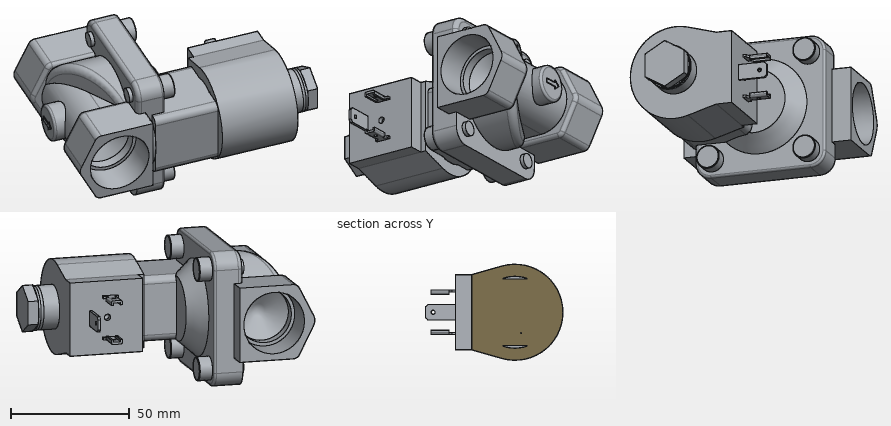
import cadquery as cq
import math


overall_length = 112.7

port_face_x = 37.4
port_length = 19.7
port_half_width = 16.1
port_back_y = 15.1
port_corner_y = -10.3
port_tip_y = -18.5
port_tip_radius = 4.8
port_corner_radius = 3.2
port_inner_fillet = 1.7
port_inner_x = port_face_x - port_length
bore_mouth_radius = 13.3
bore_radius = 13.1
bore_depth = 14.0
seat_radius = 11.6
seat_depth = 4.5
seat_cone_depth = 7.0

channel_radius = 13.1
bowl_radius = 22.7
bowl_floor_angle = 29.2
bowl_floor_y = -1.6
bowl_fillet = 3.0

plug_radius = 8.0
plug_end_y = -17.7
plug_fillet = 1.0
arrow_end_y = -18.1
arrow_tail_x = -4.2
arrow_neck_x = 1.9
arrow_tip_x = 4.5
arrow_shaft_half = 0.9
arrow_head_half = 2.0

flange_size = 58.0
flange_front_y = 11.3
flange_back_y = 23.9
flange_corner_radius = 6.8
flange_back_fillet = 1.0
flange_front_fillet = 2.0
screw_offset = 21.5
screw_head_radius = 5.1
screw_head_height = 5.7
screw_tip_radius = 3.2
screw_tip_y = 9.6
screw_chamfer = 0.3

cover_base_radius = 20.9
cover_top_radius = 13.9
cover_top_y = 31.8

neck_min_x = 1.0
neck_max_x = 33.0
neck_half_width = 14.1
neck_corner_radius = 3.0
neck_start_y = 18
foot_x = 17.5
foot_radius = 16.2

coil_x = 17.6
coil_radius = 20.3
coil_flat_x = -0.7
coil_start_y = 46.5
coil_end_y = 80.9
coil_recess_radius = 15.1
coil_recess_depth = 1.1
neck_end_y = coil_start_y + coil_recess_depth

box_face_x = -7.5
box_half_width = 15.9
box_start_y = 49.0
box_hole_y = 64.5
box_hole_radius = 1.4
box_hole_depth = 2.3
box_hole_tip_depth = 1.4

blade_tip_x = -20.2
blade_y = 71.8
blade_thickness = 1.1
blade_width = 6.6
blade_tip_chamfer = 1.1
blade_hole_x = -16.9
pin_hole_radius = 0.8

pin_tip_x = -17.8
pin_neck_x = -10.1
pin_shoulder_x = -8.9
pin_y = 63.3
pin_width = 5.0
pin_neck_width = 3.0
pin_shoulder_width = 6.5
pin_outer_z = 9.5
pin_thickness = 1.0
pin_channel_depth = 1.9
pin_wall = 0.9
pin_bend_radius = 0.9
pin_neck_fillet = 0.9
pin_hole_x = -13.4

sleeve_radius = 9.5
sleeve_end_y = 87.8
ring_start_y = 89
sleeve_groove_depth = 0.3
nut_start_y = 90.0
nut_end_y = arrow_end_y + overall_length
nut_across_flats = 17.5
nut_turn = 30


def plane_at(y):
    """Sketch plane across Y whose local axes are the part's X and Z."""
    return cq.Workplane("XZ", origin=(0, y, 0))


def box_between(x_range, y_range, z_range):
    """Axis-aligned block spanning the three ranges."""
    return cq.Workplane("XY").box(
        x_range[1] - x_range[0],
        y_range[1] - y_range[0],
        z_range[1] - z_range[0],
        centered=False,
    ).translate((x_range[0], y_range[0], z_range[0]))


def cylinder_y(x, z, radius, start_y, end_y):
    """Cylinder along Y between two heights."""
    return plane_at(start_y).center(x, z).circle(radius).extrude(start_y - end_y)


def make_port():
    """Body of the -X port: square at the back, pointed at the front."""
    body = (
        cq.Workplane("YZ", origin=(-port_face_x, 0, 0))
        .moveTo(port_back_y, port_half_width)
        .lineTo(port_corner_y, port_half_width)
        .lineTo(port_tip_y, 0)
        .lineTo(port_corner_y, -port_half_width)
        .lineTo(port_back_y, -port_half_width)
        .close()
        .extrude(port_length)
    )
    tip_middle = (-port_face_x + port_length / 2, port_tip_y, 0)
    body = body.edges(cq.selectors.NearestToPointSelector(tip_middle)).fillet(port_tip_radius)
    for side in (1, -1):
        corner_middle = (tip_middle[0], port_corner_y, side * port_half_width)
        corner = cq.selectors.NearestToPointSelector(corner_middle)
        body = body.edges(corner).fillet(port_corner_radius)
    inner_edges = body.faces(">X").edges("not(>Y)")
    return inner_edges.fillet(port_inner_fillet)


def make_port_bore():
    """Slightly tapered bore of the -X port, stepping down to a seat with a conical bottom."""
    shoulder_x = -port_face_x + bore_depth
    return (
        cq.Workplane("XY")
        .moveTo(-port_face_x, 0)
        .lineTo(-port_face_x, bore_mouth_radius)
        .lineTo(shoulder_x, bore_radius)
        .lineTo(shoulder_x, seat_radius)
        .lineTo(shoulder_x + seat_depth, seat_radius)
        .lineTo(shoulder_x + seat_depth + seat_cone_depth, 0)
        .close()
        .revolve(360, (0, 0, 0), (1, 0, 0))
    )


def make_channel():
    """U-shaped flow channel between the ports, round at the front."""
    length = 2 * port_inner_x
    pipe = cq.Workplane("YZ", origin=(-port_inner_x, 0, 0)).circle(channel_radius).extrude(length)
    walls = box_between(
        (-port_inner_x, port_inner_x), (0, flange_front_y), (-channel_radius, channel_radius)
    )
    return pipe.union(walls)


def make_bowl():
    """Round bowl whose slanted floor meets the wall in a fillet."""
    slope = math.tan(math.radians(bowl_floor_angle))
    reach = 2 * bowl_radius
    bowl = cylinder_y(0, 0, bowl_radius, -reach, flange_front_y)
    below_floor = (
        cq.Workplane("XY", origin=(0, 0, -reach))
        .moveTo(-reach, bowl_floor_y - reach * slope)
        .lineTo(reach, bowl_floor_y + reach * slope)
        .lineTo(reach, -2 * reach)
        .lineTo(-reach, -2 * reach)
        .close()
        .extrude(2 * reach)
    )
    bowl = bowl.cut(below_floor)
    floor = cq.selectors.NearestToPointSelector((0, bowl_floor_y, 0))
    return bowl.faces(floor).edges().fillet(bowl_fillet)


def make_plug():
    """Plug boss with a rounded rim and a raised arrow pointing to +X."""
    plug = cylinder_y(0, 0, plug_radius, plug_end_y, 0).faces("<Y").edges().fillet(plug_fillet)
    arrow = (
        plane_at(plug_end_y)
        .moveTo(arrow_tail_x, arrow_shaft_half)
        .lineTo(arrow_neck_x, arrow_shaft_half)
        .lineTo(arrow_neck_x, arrow_head_half)
        .lineTo(arrow_tip_x, 0)
        .lineTo(arrow_neck_x, -arrow_head_half)
        .lineTo(arrow_neck_x, -arrow_shaft_half)
        .lineTo(arrow_tail_x, -arrow_shaft_half)
        .close()
        .extrude(plug_end_y - arrow_end_y)
    )
    return plug.union(arrow)


def make_flange():
    """Rounded square flange; only its upper half is rounded on the front edge."""
    plate = (
        plane_at(flange_front_y)
        .rect(flange_size, flange_size)
        .extrude(flange_front_y - flange_back_y)
        .edges("|Y")
        .fillet(flange_corner_radius)
        .faces(">Y")
        .edges()
        .fillet(flange_back_fillet)
    )
    rounded = plate.faces("<Y").edges().fillet(flange_front_fillet)
    half = flange_size / 2
    upper = box_between((-half, half), (flange_front_y, flange_back_y), (0, half))
    return plate.cut(upper).union(rounded.intersect(upper))


def make_screw(x, z):
    """Flange screw: cylindrical head at the back, tip showing at the front."""
    head_end_y = flange_back_y + screw_head_height
    head = cylinder_y(x, z, screw_head_radius, flange_back_y, head_end_y)
    tip = cylinder_y(x, z, screw_tip_radius, screw_tip_y, flange_back_y)
    return head.faces(">Y").chamfer(screw_chamfer).union(tip)


def make_cover():
    """Conical cover on the back of the flange."""
    return (
        cq.Workplane("XY")
        .moveTo(0, flange_back_y)
        .lineTo(cover_base_radius, flange_back_y)
        .lineTo(cover_top_radius, cover_top_y)
        .lineTo(0, cover_top_y)
        .close()
        .revolve(360, (0, 0, 0), (0, 1, 0))
    )


def make_neck():
    """Neck block with rounded corners and its round foot on the +X port."""
    neck = box_between(
        (neck_min_x, neck_max_x), (neck_start_y, neck_end_y), (-neck_half_width, neck_half_width)
    ).edges("|Y").fillet(neck_corner_radius)
    foot = cylinder_y(foot_x, 0, foot_radius, port_back_y, neck_start_y)
    return neck.union(foot)


def make_coil():
    """Coil whose flat sides are tangent to its round end, recessed around the neck."""
    flat_distance = coil_x - coil_flat_x
    corner_distance = math.hypot(flat_distance, box_half_width)
    tangent_angle = (
        math.pi
        - math.atan2(box_half_width, flat_distance)
        - math.acos(coil_radius / corner_distance)
    )
    tangent_x = coil_x + coil_radius * math.cos(tangent_angle)
    tangent_z = coil_radius * math.sin(tangent_angle)
    coil = (
        plane_at(coil_start_y)
        .moveTo(coil_flat_x, -box_half_width)
        .lineTo(tangent_x, -tangent_z)
        .threePointArc((coil_x + coil_radius, 0), (tangent_x, tangent_z))
        .lineTo(coil_flat_x, box_half_width)
        .close()
        .extrude(coil_start_y - coil_end_y)
    )
    return coil.cut(cylinder_y(coil_x, 0, coil_recess_radius, coil_start_y, neck_end_y))


def make_connector_box():
    """Connector box with its central cone-tipped screw hole."""
    box = box_between(
        (box_face_x, coil_flat_x), (box_start_y, coil_end_y), (-box_half_width, box_half_width)
    )
    hole = (
        cq.Workplane("XY")
        .moveTo(box_face_x, 0)
        .lineTo(box_face_x, box_hole_radius)
        .lineTo(box_face_x + box_hole_depth, box_hole_radius)
        .lineTo(box_face_x + box_hole_depth + box_hole_tip_depth, 0)
        .close()
        .revolve(360, (0, 0, 0), (1, 0, 0))
        .translate((0, box_hole_y, 0))
    )
    return box.cut(hole)


def make_ground_blade():
    """Flat blade with chamfered tip corners and a hole."""
    front_y = blade_y - blade_thickness / 2
    back_y = blade_y + blade_thickness / 2
    blade = box_between(
        (blade_tip_x, box_face_x), (front_y, back_y), (-blade_width / 2, blade_width / 2)
    ).edges("|Y and <X").chamfer(blade_tip_chamfer)
    return blade.cut(cylinder_y(blade_hole_x, 0, pin_hole_radius, front_y, back_y))


def make_pin():
    """Upper contact pin: shoulder, narrow neck and a channel open towards the centre."""
    def centred(start_x, end_x, width, depth):
        return box_between(
            (start_x, end_x),
            (pin_y - width / 2, pin_y + width / 2),
            (pin_outer_z - depth, pin_outer_z),
        )

    channel = centred(pin_tip_x, pin_neck_x, pin_width, pin_channel_depth)
    channel = channel.edges("|X and >Z").fillet(pin_bend_radius)
    neck = centred(pin_neck_x, pin_shoulder_x, pin_neck_width, pin_thickness)
    shoulder = centred(pin_shoulder_x, box_face_x, pin_shoulder_width, pin_thickness)
    root = neck.union(shoulder)
    for side in (1, -1):
        corner = (pin_shoulder_x, pin_y + side * pin_neck_width / 2, pin_outer_z - pin_thickness / 2)
        root = root.edges(cq.selectors.NearestToPointSelector(corner)).fillet(pin_neck_fillet)
    groove = centred(
        pin_tip_x, pin_neck_x, pin_width - 2 * pin_wall, pin_channel_depth
    ).translate((0, 0, -pin_thickness))
    hole = (
        cq.Workplane("XY", origin=(pin_hole_x, pin_y, pin_outer_z - pin_thickness))
        .circle(pin_hole_radius)
        .extrude(pin_thickness)
    )
    return channel.cut(groove).union(root).cut(hole)


def make_sleeve_and_nut():
    """Sleeve with a rounded groove below its end ring, and the hexagon nut."""
    groove_middle_y = (sleeve_end_y + ring_start_y) / 2
    sleeve = (
        cq.Workplane("XY")
        .moveTo(0, coil_end_y)
        .lineTo(sleeve_radius, coil_end_y)
        .lineTo(sleeve_radius, sleeve_end_y)
        .threePointArc(
            (sleeve_radius - sleeve_groove_depth, groove_middle_y), (sleeve_radius, ring_start_y)
        )
        .lineTo(sleeve_radius, nut_start_y)
        .lineTo(0, nut_start_y)
        .close()
        .revolve(360, (0, 0, 0), (0, 1, 0))
        .translate((coil_x, 0, 0))
    )
    nut = (
        plane_at(nut_start_y)
        .center(coil_x, 0)
        .polygon(6, nut_across_flats / math.cos(math.radians(nut_turn)))
        .extrude(nut_start_y - nut_end_y)
        .rotate((coil_x, 0, 0), (coil_x, 1, 0), nut_turn)
    )
    return sleeve.union(nut)


port = make_port()
port_bore = make_port_bore()
body = make_bowl().union(make_channel()).union(make_plug())
body = body.union(make_flange()).union(make_cover())
body = body.union(port).union(port.mirror("YZ"))

for screw_x in (-screw_offset, screw_offset):
    for screw_z in (-screw_offset, screw_offset):
        body = body.union(make_screw(screw_x, screw_z))

body = body.cut(port_bore).cut(port_bore.mirror("YZ"))

pin = make_pin()
solenoid = make_neck().union(make_coil()).union(make_connector_box())
solenoid = solenoid.union(make_ground_blade()).union(pin).union(pin.mirror("XY"))
solenoid = solenoid.union(make_sleeve_and_nut())

result = body.union(solenoid)